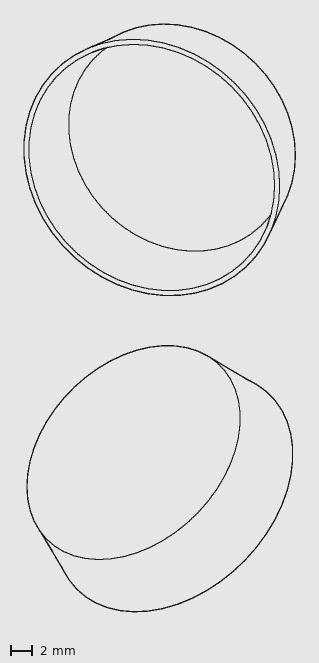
import cadquery as cq
import math

rim_diameter = 24.98
depth = 7.42
wall = 0.5
floor_thickness = 0.5
draft_angle = 10.0

draft_slope = math.tan(math.radians(draft_angle))
rim_radius = rim_diameter / 2
base_radius = rim_radius - depth * draft_slope
cavity_depth = depth - floor_thickness
cavity_rim_radius = rim_radius - wall
cavity_floor_radius = cavity_rim_radius - cavity_depth * draft_slope

section = (
    cq.Workplane("XY")
    .moveTo(0, depth)
    .lineTo(base_radius, depth)
    .lineTo(rim_radius, 0)
    .lineTo(cavity_rim_radius, 0)
    .lineTo(cavity_floor_radius, cavity_depth)
    .lineTo(0, cavity_depth)
    .close()
)

result = section.revolve(360, (0, 0, 0), (0, 1, 0))